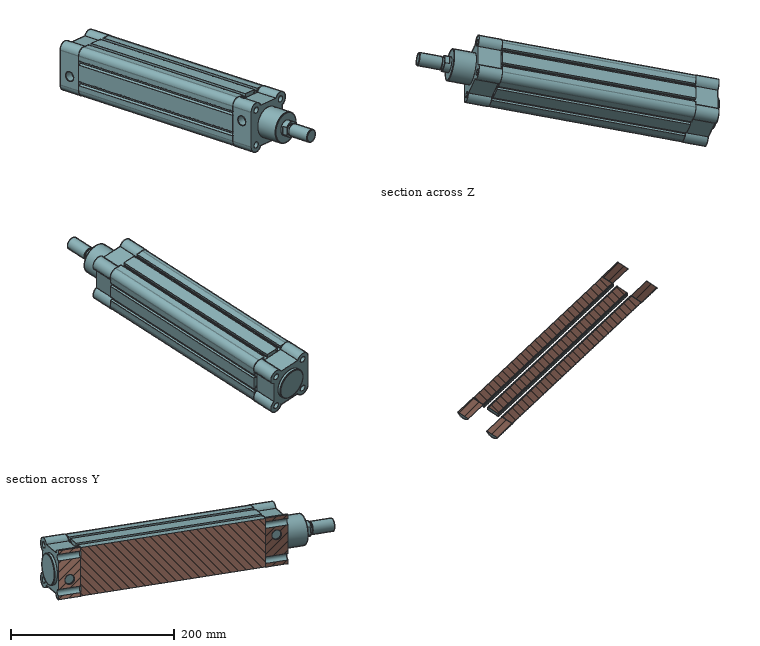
import cadquery as cq
import math

CAP_SIDE = 65.0
CAP_HALF = CAP_SIDE / 2
BARREL_SIDE = 64.5
BARREL_HALF = BARREL_SIDE / 2
BOLT_OFFSET = 23.0
LUG_RADIUS = CAP_HALF - BOLT_OFFSET
BARREL_CORNER_RADIUS = BARREL_HALF - BOLT_OFFSET

TOTAL_LENGTH = 379.0
REAR_BOSS_LENGTH = 4.0
CAP_LENGTH = 29.5
BARREL_LENGTH = 246.7
FRONT_BOSS_LENGTH = 28.5
BARREL_START_X = REAR_BOSS_LENGTH + CAP_LENGTH
BARREL_END_X = BARREL_START_X + BARREL_LENGTH
FRONT_FACE_X = BARREL_END_X + CAP_LENGTH
ROD_START_X = FRONT_FACE_X + FRONT_BOSS_LENGTH

CAP_RECESS = 5.5
RECESS_FLOOR = CAP_HALF - CAP_RECESS
BOSS_DIAMETER = 40.0
BOSS_CHAMFER = 0.8
BOLT_HOLE_DIAMETER = 8.0
PORT_DIAMETER = 12.0
PORT_CHAMFER = 0.5
PORT_DEPTH = 11.5
PORT_INSET = 15.0
PORT_HEIGHT = 8.0

GROOVE_MOUTH = 5.3
SLOT_OFFSET = 11.5
SLOT_UNDERCUT = 1.0
SLOT_LIP = 4.0
TAPER_OFFSET = 13.5
TAPER_DEPTH = 4.0
TAPER_FLOOR = 3.0

ROD_DIAMETER = 20.0
SHOULDER_LENGTH = 8.5
FLATS_WIDTH = 17.0
FLATS_START = 2.3
NECK_LENGTH = 2.3
THREAD_DIAMETER = 16.5
THREAD_CHAMFER = 0.8
NECK_DIAMETER = THREAD_DIAMETER - 2 * THREAD_CHAMFER


def cylinder(x0, length, diameter):
    return cq.Workplane("YZ", origin=(x0, 0, 0)).circle(diameter / 2).extrude(length)



def cap_outline(x0):
    """Square with a flat port side (-Y), recessed on +Y, +Z and -Z between round lugs at the corners."""
    lug = BOLT_OFFSET
    floor = RECESS_FLOOR
    lug_end = lug - math.sqrt(LUG_RADIUS**2 - (floor - lug) ** 2)
    lug_tip = lug + LUG_RADIUS / math.sqrt(2)
    return (
        cq.Workplane("YZ", origin=(x0, 0, 0))
        .moveTo(-CAP_HALF, -lug)
        .lineTo(-CAP_HALF, lug)
        .threePointArc((-lug, CAP_HALF), (-lug_end, floor))
        .lineTo(lug_end, floor)
        .threePointArc((lug_tip, lug_tip), (floor, lug_end))
        .lineTo(floor, -lug_end)
        .threePointArc((lug_tip, -lug_tip), (lug_end, -floor))
        .lineTo(-lug_end, -floor)
        .threePointArc((-lug, -CAP_HALF), (-CAP_HALF, -lug))
        .close()
    )


def port_cutter(x, z):
    """Blind air port entering from the -Y face, with a chamfered mouth."""
    mouth = cq.Workplane("XZ", origin=(x, -CAP_HALF, z))
    bore = mouth.circle(PORT_DIAMETER / 2).extrude(-PORT_DEPTH)
    countersink = mouth.circle(PORT_DIAMETER / 2 + PORT_CHAMFER).extrude(-PORT_CHAMFER, taper=45)
    return bore.union(countersink)


def make_cap(x0, port_x, port_z):
    """End cap with four through bolt holes and one air port."""
    bolt_holes = (
        cq.Workplane("YZ", origin=(x0, 0, 0))
        .rect(2 * BOLT_OFFSET, 2 * BOLT_OFFSET, forConstruction=True)
        .vertices()
        .circle(BOLT_HOLE_DIAMETER / 2)
        .extrude(CAP_LENGTH)
    )
    return cap_outline(x0).extrude(CAP_LENGTH).cut(bolt_holes).cut(port_cutter(port_x, port_z))


def make_rear_cap():
    boss = cylinder(0, REAR_BOSS_LENGTH, BOSS_DIAMETER).faces("<X").chamfer(BOSS_CHAMFER)
    return make_cap(REAR_BOSS_LENGTH, REAR_BOSS_LENGTH + PORT_INSET, -PORT_HEIGHT).union(boss)


def make_front_cap():
    boss = cylinder(FRONT_FACE_X, FRONT_BOSS_LENGTH, BOSS_DIAMETER).faces(">X").chamfer(BOSS_CHAMFER)
    return make_cap(BARREL_END_X, FRONT_FACE_X - PORT_INSET, PORT_HEIGHT).union(boss)



def groove(half_profile, offset):
    """Groove along the +Z side at Y = offset; half_profile lists (half width, Z) from mouth to floor."""
    right = [(offset + half_width, z) for half_width, z in half_profile]
    left = [(offset - half_width, z) for half_width, z in reversed(half_profile)]
    start = cq.Workplane("YZ", origin=(BARREL_START_X, 0, 0))
    return start.polyline(right + left).close().extrude(BARREL_LENGTH)


def make_barrel():
    barrel = (
        cq.Workplane("YZ", origin=(BARREL_START_X, 0, 0))
        .rect(BARREL_SIDE, BARREL_SIDE)
        .extrude(BARREL_LENGTH)
        .edges("|X")
        .fillet(BARREL_CORNER_RADIUS)
    )
    lip_half = GROOVE_MOUTH / 2
    lip_bottom = BARREL_HALF - SLOT_LIP
    slot = [
        (lip_half, BARREL_HALF),
        (lip_half, lip_bottom),
        (lip_half + SLOT_UNDERCUT, lip_bottom),
        (lip_half + SLOT_UNDERCUT, RECESS_FLOOR),
    ]
    taper = [(lip_half, BARREL_HALF), (TAPER_FLOOR / 2, BARREL_HALF - TAPER_DEPTH)]
    sides = [
        (0, slot, SLOT_OFFSET),
        (90, taper, TAPER_OFFSET),
        (180, slot, SLOT_OFFSET),
        (270, slot, SLOT_OFFSET),
    ]
    for angle, half_profile, offset in sides:
        for y in (-offset, offset):
            barrel = barrel.cut(groove(half_profile, y).rotate((0, 0, 0), (1, 0, 0), angle))
    return barrel



def make_rod():
    """Rod end standing on the front boss: shoulder with two spanner flats, neck and thread."""
    flats_x = ROD_START_X + FLATS_START
    neck_x = ROD_START_X + SHOULDER_LENGTH
    thread_x = neck_x + NECK_LENGTH
    flats_length = neck_x - flats_x
    round_part = cylinder(ROD_START_X, FLATS_START, ROD_DIAMETER)
    slab = cq.Workplane("YZ", origin=(flats_x, 0, 0)).rect(FLATS_WIDTH, ROD_DIAMETER).extrude(flats_length)
    flatted_part = cylinder(flats_x, flats_length, ROD_DIAMETER).intersect(slab)
    neck = cylinder(neck_x, NECK_LENGTH, NECK_DIAMETER)
    thread = cylinder(thread_x, TOTAL_LENGTH - thread_x, THREAD_DIAMETER)
    thread = thread.faces("<X or >X").chamfer(THREAD_CHAMFER)
    return round_part.union(flatted_part).union(neck).union(thread)


rear_cap = make_rear_cap()
barrel = make_barrel()
front_cap = make_front_cap()
rod = make_rod()

result = cq.Compound.makeCompound([rear_cap.val(), barrel.val(), front_cap.val(), rod.val()])